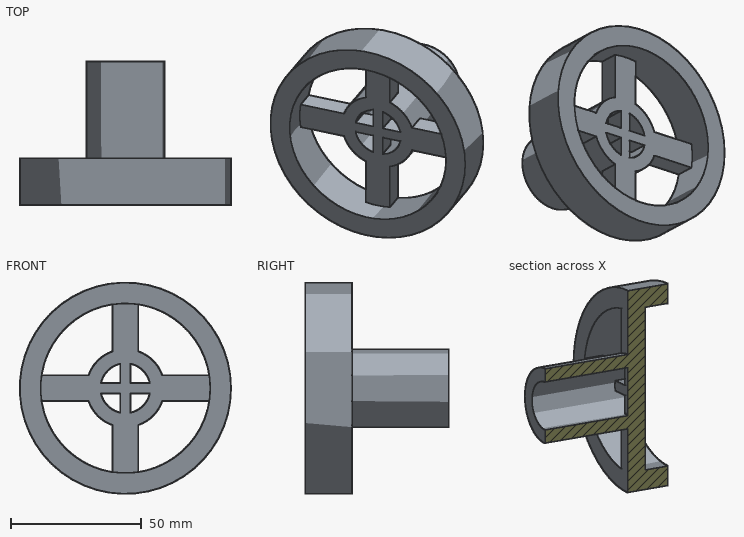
import cadquery as cq

rim_diameter = 81.0
rim_bore = 65.0
rim_depth = 18.0
total_depth = 55.0
spoke_width = 10.0
spoke_recess = 10.0
hub_diameter = 30.0
hub_bore = 19.0
grille_bar_width = 4.05

spoke_depth = rim_depth - spoke_recess
hub_depth = total_depth - spoke_recess
grille_depth = spoke_depth


def plane_at(y):
    """Sketch plane facing +Y at the given depth."""
    return cq.Workplane("XZ", origin=(0, y, 0))


def cylinder(diameter, y, depth):
    return plane_at(y).circle(diameter / 2).extrude(-depth)


def cross(length, width, y, depth):
    """Horizontal and vertical bars crossing on the wheel axis."""
    horizontal = plane_at(y).rect(length, width).extrude(-depth)
    vertical = plane_at(y).rect(width, length).extrude(-depth)
    return horizontal.union(vertical)


rim = cylinder(rim_diameter, 0, rim_depth).cut(cylinder(rim_bore, 0, rim_depth))

spoke_span = (rim_diameter + rim_bore) / 2
spokes = cross(spoke_span, spoke_width, spoke_recess, spoke_depth)

hub = cylinder(hub_diameter, spoke_recess, hub_depth)
bore = cylinder(hub_bore, spoke_recess, hub_depth)

grille_span = (hub_diameter + hub_bore) / 2
grille = cross(grille_span, grille_bar_width, spoke_recess, grille_depth)

result = rim.union(spokes).union(hub).cut(bore).union(grille)